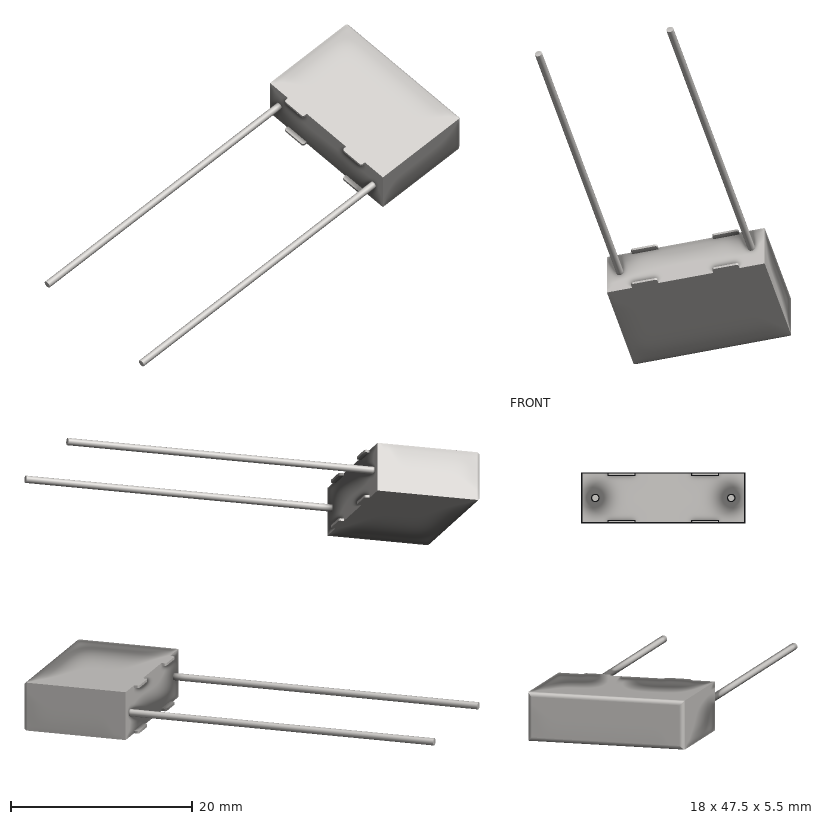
import cadquery as cq

overall_length = 47.5
case_width = 18.0
case_length = 11.95
case_height = 5.5
back_edge_radius = 0.48

tab_width = 3.0
tab_length = 0.55
tab_thickness = 0.3
tab_spacing = 9.25
tab_corner_radius = 0.25

lead_diameter = 0.8
lead_spacing = 15.0
lead_length = overall_length - case_length


def make_tab(x, z):
    """Standoff tab with rounded outer corners, growing from the lead face at Y = 0."""
    return (
        cq.Workplane("XY")
        .box(tab_width, tab_length, tab_thickness)
        .edges("|Z and <Y")
        .fillet(tab_corner_radius)
        .translate((x, -tab_length / 2, z))
    )


def make_case():
    """Box with a rounded back rim and four standoff tabs; its lead face lies at Y = 0."""
    case = (
        cq.Workplane("XY")
        .box(case_width, case_length, case_height)
        .faces(">Y")
        .edges()
        .fillet(back_edge_radius)
        .translate((0, case_length / 2, 0))
    )
    tab_x = tab_spacing / 2
    tab_z = (case_height - tab_thickness) / 2
    for x in (-tab_x, tab_x):
        for z in (-tab_z, tab_z):
            case = case.union(make_tab(x, z))
    return case


def make_lead(x):
    """Straight round wire that butts against the lead face."""
    return cq.Workplane("XZ").center(x, 0).circle(lead_diameter / 2).extrude(lead_length)


case = make_case()
leads = [make_lead(side * lead_spacing / 2) for side in (-1, 1)]

result = cq.Compound.makeCompound([case.val(), *[lead.val() for lead in leads]])